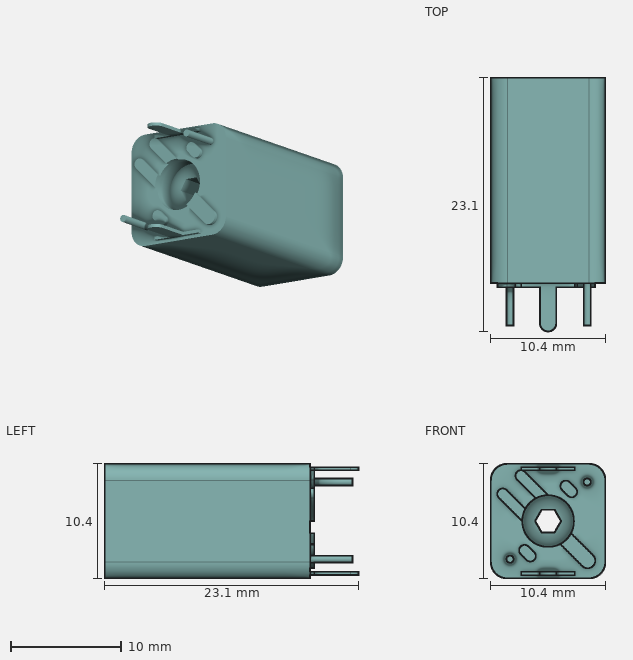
import cadquery as cq
import math

total_length = 23.08
body_side = 10.43
corner_radius = 1.5
tab_reach = 4.4
body_length = total_length - tab_reach

bore_diameter = 4.7
bore_depth = 2.0
hex_across_flats = 2.03
hex_across_corners = hex_across_flats / math.cos(math.radians(30))

pad_height = 0.4
pad_angle = -45
twin_rib_width = 1.0
twin_rib_offset = bore_diameter / 2 * math.sin(math.radians(45)) - twin_rib_width / 2
twin_rib_end = 4.66
single_rib_width = 1.38
single_rib_end = 5.08
short_pad_length = 1.73
short_pad_width = 1.0
short_pad_along = 0.75
short_pad_across = 3.4

pin_diameter = 0.65
pin_length = 3.88
pin_offset = 3.5
pin_pair_shift = 0.05

tab_thickness = 0.3
tab_offset = 4.75
tab_base_width = 4.85
tab_width = 1.5


def front_plane():
    """Plane on the front face, normal toward -Y."""
    return cq.Workplane("XZ")


def diagonal_plane():
    """Front plane with its local x axis along the falling diagonal."""
    return front_plane().transformed(rotate=(0, 0, pad_angle))


def make_pad(along, across, length, width):
    """Round-ended raised pad centred at the given diagonal position."""
    return diagonal_plane().center(along, across).slot2D(length, width).extrude(pad_height)


def make_rib(end_along, across, width):
    """Pad running from the middle of the face to a round end centred at end_along."""
    return make_pad(end_along / 2, across, abs(end_along) + width, width)


def make_tab(z):
    """T-shaped tab with a fully rounded tip, centred on height z."""
    base = (
        cq.Workplane("XY", origin=(0, 0, z - tab_thickness / 2))
        .center(0, -pad_height / 2)
        .rect(tab_base_width, pad_height)
        .extrude(tab_thickness)
    )
    half_width = tab_width / 2
    prong = (
        cq.Workplane("XY", origin=(0, 0, z - tab_thickness / 2))
        .moveTo(-half_width, 0)
        .lineTo(-half_width, half_width - tab_reach)
        .threePointArc((0, -tab_reach), (half_width, half_width - tab_reach))
        .lineTo(half_width, 0)
        .close()
        .extrude(tab_thickness)
    )
    return base.union(prong)


result = front_plane().rect(body_side, body_side).extrude(-body_length).edges("|Y").fillet(corner_radius)

for side in (-1, 1):
    result = result.union(make_rib(-twin_rib_end, side * twin_rib_offset, twin_rib_width))
result = result.union(make_rib(single_rib_end, 0, single_rib_width))

for side in (-1, 1):
    short_pad = make_pad(
        -side * short_pad_along, side * short_pad_across, short_pad_length, short_pad_width
    )
    pin_position = side * pin_offset + pin_pair_shift
    pin = (
        front_plane()
        .center(pin_position, pin_position)
        .circle(pin_diameter / 2)
        .extrude(pin_length)
    )
    result = result.union(short_pad).union(pin).union(make_tab(side * tab_offset))

bore = (
    front_plane()
    .workplane(offset=pad_height)
    .circle(bore_diameter / 2)
    .extrude(-(pad_height + bore_depth))
)
hex_hole = front_plane().polygon(6, hex_across_corners).extrude(-body_length)
result = result.cut(bore).cut(hex_hole)